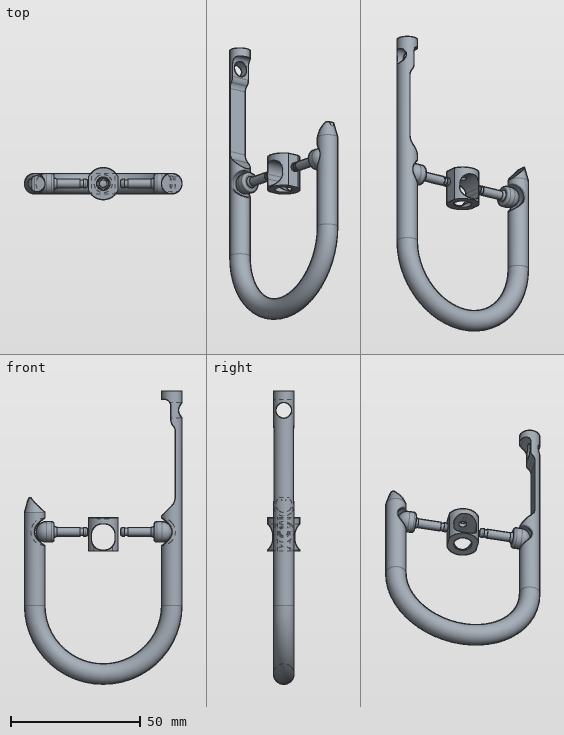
import cadquery as cq
import math


rod_radius = 4.0
overall_width = 61.0
leg_x = overall_width / 2 - rod_radius
short_leg_height = 36.0
rod_top = 83.0

tip_height = 5.75
tip_cone_angle = 15.0
bevel_height = 3.85
facet_x = -1.0
facet_height = 5.1
ridge_inner_x = -1.4
ridge_outer_x = -2.2
back_facet_height = 4.0

strap_x = 27.8
ramp_start_height = 34.6
ramp_fillet = 5.0
neck_x = 26.1
neck_base_height = 71.8
neck_step_height = 67.4
head_height = 3.3
head_fillet = 2.5
eye_diameter = 6.0
eye_z = 75.5

pin_z = 28.5
ball_radius = 4.0
ball_band_length = 2.0
ball_shoulder_drop = 1.2
ball_shoulder_length = 1.0
shaft_diameter = 3.5
shaft_start = 4.15
shaft_root_flare = 0.5
groove_diameter = 3.0
groove_start = 13.1
groove_end = 14.4
pin_length = 16.0
pin_tip_radius = 0.9
left_ball_x = -22.0
right_ball_x = 22.7

seat_radius = 5.25
seat_offset = 3.8
seat_rim_fillet = 0.3

block_diameter = 12.5
block_width = 11.5
block_base = 21.0
block_height = 13.0
window_width = 9.0
window_height = 10.0
window_corner = 4.0
window_floor = 0.5
base_hole_diameter = 7.0
top_hole_diameter = 3.0
top_recess_diameter = 5.2
top_recess_floor_diameter = 4.2
top_recess_depth = 0.5


def make_bent_rod():
    """Round bar: short leg, half-circle bend, long leg."""
    path = (
        cq.Workplane("XZ")
        .moveTo(-leg_x, short_leg_height)
        .lineTo(-leg_x, 0)
        .threePointArc((0, -leg_x), (leg_x, 0))
        .lineTo(leg_x, rod_top)
    )
    section = cq.Workplane("XY", origin=(-leg_x, 0, short_leg_height)).circle(rod_radius)
    return section.sweep(path)


def make_pointed_tip():
    """Cone on the short leg, bevelled from the inner side up to a narrow ridge."""

    def cone_radius(height):
        return rod_radius - height * math.tan(math.radians(tip_cone_angle))

    tip_base = (-leg_x, rod_radius, short_leg_height)
    cone = (
        cq.Workplane("XZ", origin=(-leg_x, 0, short_leg_height))
        .polyline([(0, 0), (rod_radius, 0), (cone_radius(tip_height), tip_height), (0, tip_height)])
        .close()
        .revolve(360, (0, 0), (0, 1))
    )
    kept_profile = (
        cq.Workplane("XZ", origin=tip_base)
        .moveTo(rod_radius, 0)
        .lineTo(0, bevel_height)
        .lineTo(facet_x, facet_height)
        .lineTo(ridge_inner_x, tip_height)
        .lineTo(ridge_outer_x, tip_height)
        .lineTo(-cone_radius(back_facet_height), back_facet_height)
        .lineTo(-rod_radius, back_facet_height)
        .lineTo(-rod_radius, 0)
        .close()
        .extrude(2 * rod_radius)
    )
    return cone.intersect(kept_profile)


def make_strap_cutter():
    """Side cut that thins the long leg to a strap, a neck and a head."""
    inner_x = leg_x - rod_radius
    outside_x = inner_x - rod_radius
    ramp_end_height = ramp_start_height + strap_x - inner_x
    head_base = rod_top - head_height
    step_middle = ((strap_x + neck_x) / 2, (neck_step_height + neck_base_height) / 2)
    cutter = (
        cq.Workplane("XZ", origin=(0, rod_radius, 0))
        .moveTo(outside_x, ramp_start_height - rod_radius)
        .lineTo(strap_x, ramp_end_height)
        .lineTo(strap_x, neck_step_height)
        .tangentArcPoint(step_middle, relative=False)
        .tangentArcPoint((neck_x, neck_base_height), relative=False)
        .lineTo(neck_x, head_base)
        .lineTo(outside_x, head_base)
        .close()
        .extrude(2 * rod_radius)
    )

    def corner(x, z):
        """Selector for the edge along Y at the given corner of the profile."""
        size = 0.1
        return cq.selectors.BoxSelector((x - size, -size, z - size), (x + size, size, z + size))

    cutter = cutter.edges(corner(strap_x, ramp_end_height)).fillet(ramp_fillet)
    return cutter.edges(corner(neck_x, head_base)).fillet(head_fillet)


def make_shackle():
    """Whole rod with its tip, strap, eye and the two ball seats."""
    shackle = make_bent_rod().union(make_pointed_tip())
    shackle = shackle.cut(make_strap_cutter())
    eye = cq.Workplane("YZ", origin=(leg_x, 0, eye_z)).circle(eye_diameter / 2)
    shackle = shackle.cut(eye.extrude(rod_radius, both=True))
    cut_sphere = cq.Workplane("XY").sphere(seat_radius)
    for side, seam_angle in ((-1, 0), (1, 180)):
        seat_x = side * (leg_x - seat_offset)
        seat = cut_sphere.rotate((0, 0, 0), (0, 0, 1), seam_angle).translate((seat_x, 0, pin_z))
        shackle = shackle.cut(seat)
        rim_zone = cq.selectors.BoxSelector(
            (seat_x - seat_radius, -seat_radius, pin_z - seat_radius),
            (seat_x + seat_radius, seat_radius, pin_z + seat_radius),
        )
        shackle = shackle.edges(rim_zone).fillet(seat_rim_fillet)
    return shackle


def make_ball_pin(ball_x, direction):
    """Ball-headed pin on the pin axis; direction is the sign of X in which its shaft points."""
    shaft_radius = shaft_diameter / 2
    groove_radius = groove_diameter / 2
    diagonal = math.sqrt(0.5)
    shoulder_radius = ball_radius - ball_shoulder_drop
    shoulder_end = ball_band_length + ball_shoulder_length
    root_radius = shaft_radius + shaft_root_flare
    pin = (
        cq.Workplane("XY")
        .moveTo(-ball_radius, 0)
        .threePointArc((-ball_radius * diagonal, ball_radius * diagonal), (0, ball_radius))
        .lineTo(ball_band_length, ball_radius)
        .tangentArcPoint((shoulder_end, shoulder_radius), relative=False)
        .lineTo(shoulder_end, root_radius)
        .lineTo(shaft_start, shaft_radius)
        .lineTo(groove_start, shaft_radius)
        .lineTo(groove_start, groove_radius)
        .lineTo(groove_end, groove_radius)
        .lineTo(groove_end, shaft_radius)
        .lineTo(pin_length - pin_tip_radius, shaft_radius)
        .radiusArc((pin_length, shaft_radius - pin_tip_radius), pin_tip_radius)
        .lineTo(pin_length, 0)
        .close()
        .revolve(360, (0, 0), (1, 0))
    )
    if direction < 0:
        pin = pin.rotate((0, 0, 0), (0, 0, 1), 180)
    return pin.translate((ball_x, 0, pin_z))


def make_block():
    """Flat-sided round block with a window along Y and holes along Z."""
    block = cq.Workplane("XY", origin=(0, 0, block_base)).circle(block_diameter / 2).extrude(block_height)
    flats = cq.Workplane("XY", origin=(0, 0, block_base)).rect(block_width, block_diameter)
    block = block.intersect(flats.extrude(block_height))

    window_z = block_base + window_floor + window_height / 2
    window = (
        cq.Workplane("XY", origin=(0, 0, window_z))
        .box(window_width, block_diameter, window_height)
        .edges("|Y")
        .fillet(window_corner)
    )
    top_hole = cq.Workplane("XY", origin=(0, 0, window_z)).circle(top_hole_diameter / 2)
    base_hole = cq.Workplane("XY", origin=(0, 0, block_base)).circle(base_hole_diameter / 2)
    recess_slope = math.atan((top_recess_diameter - top_recess_floor_diameter) / 2 / top_recess_depth)
    top_recess = (
        cq.Workplane("XY", origin=(0, 0, block_base + block_height))
        .circle(top_recess_diameter / 2)
        .extrude(-top_recess_depth, taper=math.degrees(recess_slope))
    )
    block = block.cut(window)
    block = block.cut(top_hole.extrude(block_height))
    block = block.cut(top_recess)
    return block.cut(base_hole.extrude(window_z - block_base))


shackle = make_shackle()
block = make_block()
pins = [make_ball_pin(ball_x, direction) for ball_x, direction in ((left_ball_x, 1), (right_ball_x, -1))]

result = cq.Compound.makeCompound([shackle.val(), block.val(), *[pin.val() for pin in pins]])